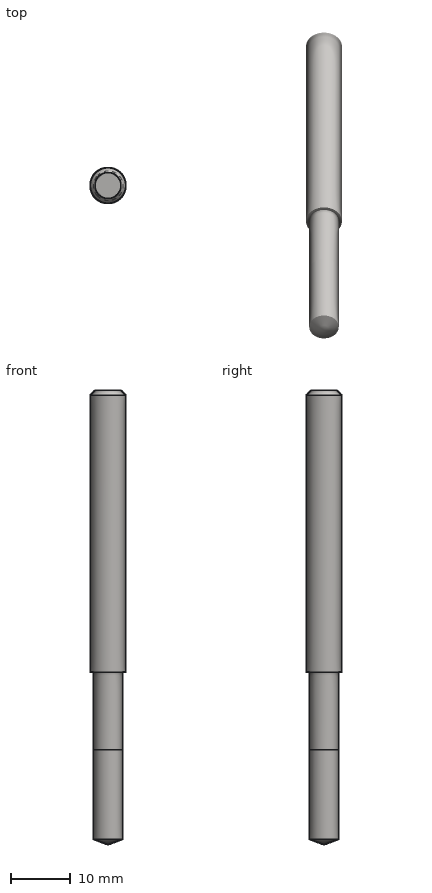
import cadquery as cq

total_length = 75.9
shank_diameter = 6.0
shank_length = 47.1
chamfer_width = 0.8
chamfer_height = 0.8
flute_diameter = 4.9
cutting_length = 15.9
point_height = 0.9

shank_radius = shank_diameter / 2
flute_radius = flute_diameter / 2
top_z = total_length / 2
tip_z = -total_length / 2
shank_bottom_z = top_z - shank_length
cutting_top_z = tip_z + cutting_length


def make_shank():
    """Chamfered shank with its reduced neck, down to the cutting part."""
    return (
        cq.Workplane("XZ")
        .moveTo(0, cutting_top_z)
        .lineTo(flute_radius, cutting_top_z)
        .lineTo(flute_radius, shank_bottom_z)
        .lineTo(shank_radius, shank_bottom_z)
        .lineTo(shank_radius, top_z - chamfer_height)
        .lineTo(shank_radius - chamfer_width, top_z)
        .lineTo(0, top_z)
        .close()
        .revolve(360, (0, 0, 0), (0, 1, 0))
    )


def make_cutting_part():
    """Cylindrical cutting part ending in a conical point."""
    return (
        cq.Workplane("XZ")
        .moveTo(0, tip_z)
        .lineTo(flute_radius, tip_z + point_height)
        .lineTo(flute_radius, cutting_top_z)
        .lineTo(0, cutting_top_z)
        .close()
        .revolve(360, (0, 0, 0), (0, 1, 0))
    )


shank = make_shank()
cutting_part = make_cutting_part()

result = cq.Compound.makeCompound([shank.val(), cutting_part.val()])